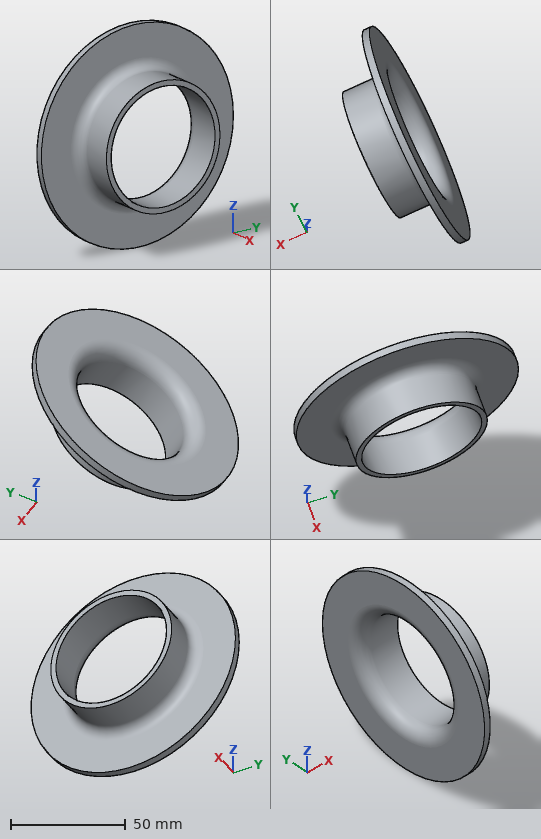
import cadquery as cq

flange_diameter = 102.0
flange_thickness = 3.5
overall_length = 23.0
collar_diameter = 60.3
bore_diameter = 55.1
neck_fillet_radius = 5.0
mouth_radius = 7.0

flange_radius = flange_diameter / 2
collar_radius = collar_diameter / 2
bore_radius = bore_diameter / 2
neck_end = flange_thickness + neck_fillet_radius

section = (
    cq.Workplane("XY")
    .moveTo(0, bore_radius + mouth_radius)
    .lineTo(0, flange_radius)
    .lineTo(flange_thickness, flange_radius)
    .lineTo(flange_thickness, collar_radius + neck_fillet_radius)
    .radiusArc((neck_end, collar_radius), -neck_fillet_radius)
    .lineTo(overall_length, collar_radius)
    .lineTo(overall_length, bore_radius)
    .lineTo(mouth_radius, bore_radius)
    .radiusArc((0, bore_radius + mouth_radius), mouth_radius)
    .close()
)

result = section.revolve(360, (0, 0, 0), (1, 0, 0))